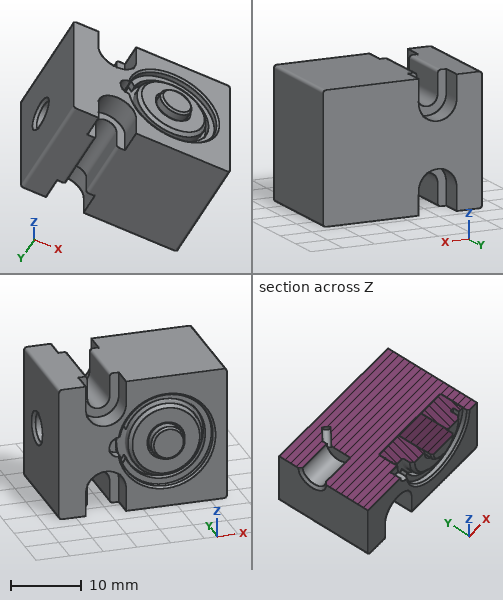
import cadquery as cq
import math

LENGTH = 25.0
DEPTH = 16.0
HEIGHT = 20.0
EDGE_RADIUS = 0.5
MID_HEIGHT = HEIGHT / 2

SLOT_X = 7.0
SLOT_WIDTH = 3.3
SLOT_CENTER_INSET = 3.5
HEAD_SLOT_WIDTH = 6.0
HEAD_SLOT_DEPTH = 3.4

PORT_Y = 10.0
PORT_DIAMETER = 4.12
PORT_MOUTH_DIAMETER = 5.0
PORT_CHAMFER = (PORT_MOUTH_DIAMETER - PORT_DIAMETER) / 2
PORT_DEPTH = 6.0
PASSAGE_DIAMETER = 1.2
PASSAGE_Y = 12.08
PASSAGE_ANGLE = 40.0
PASSAGE_DEPTH = 3.0

BORE_X = 16.0
BORE_DIAMETER = 14.0
BORE_RADIUS = BORE_DIAMETER / 2
BORE_DEPTH = 5.0
BORE_CHAMFER = 0.3
NOTCH_RADIUS = 1.5
NOTCH_DEPTH = 1.75

FLANGE_Y = 2.0
FLANGE_CHAMFER = 0.2
BOSS_DIAMETER = 11.0
BOSS_Y = 0.2
BOSS_CHAMFER = 0.5
BOSS_FOOT_RADIUS = 0.18
RING_INNER_DIAMETER = 12.2
RING_Y = 1.0
RING_GAP_INNER_HALF = 2.15
RING_GAP_OUTER_HALF = 3.1

ROD_DIAMETER = 5.0
ROD_PROTRUSION = 1.0
ROD_CHAMFER = 0.3
ROD_HOLE_CHAMFER = 0.3


def cylinder_y(diameter, y_start, y_end, x=BORE_X, z=MID_HEIGHT):
    """Cylinder along +Y between two depths."""
    base = cq.Workplane("XZ", origin=(x, y_start, z))
    return base.circle(diameter / 2).extrude(y_start - y_end)


def slot_cutter(width, y_start, y_end, direction):
    """Round-ended slot, open upward (direction 1) or downward (direction -1)."""
    center_z = MID_HEIGHT + direction * (MID_HEIGHT - SLOT_CENTER_INSET)
    straight = cq.Workplane("XY").box(
        width, y_end - y_start, SLOT_CENTER_INSET, centered=(True, False, True)
    )
    straight = straight.translate((SLOT_X, y_start, center_z + direction * SLOT_CENTER_INSET / 2))
    return cylinder_y(width, y_start, y_end, SLOT_X, center_z).union(straight)


def port_cutter():
    """Chamfered blind port with a slanted passage in its floor."""
    mouth = cq.Workplane("YZ", origin=(0, PORT_Y, MID_HEIGHT))
    port = mouth.circle(PORT_DIAMETER / 2).extrude(PORT_DEPTH)
    cone = cq.Solid.makeCone(
        PORT_MOUTH_DIAMETER / 2, PORT_DIAMETER / 2, PORT_CHAMFER,
        cq.Vector(0, PORT_Y, MID_HEIGHT), cq.Vector(1, 0, 0),
    )
    slant = math.radians(PASSAGE_ANGLE)
    direction = cq.Vector(math.cos(slant), math.sin(slant), 0)
    lead = PASSAGE_DIAMETER
    floor_point = cq.Vector(PORT_DEPTH, PASSAGE_Y, MID_HEIGHT)
    passage = cq.Workplane(cq.Solid.makeCylinder(
        PASSAGE_DIAMETER / 2, lead + PASSAGE_DEPTH, floor_point - direction * lead, direction
    ))
    behind_floor = cq.Workplane("XY").box(LENGTH, DEPTH, HEIGHT, centered=False)
    passage = passage.intersect(behind_floor.translate((PORT_DEPTH, 0, 0)))
    return port.union(cq.Workplane(cone)).union(passage)


def make_housing():
    """Block with slots, port, and bore with a release notch."""
    block = cq.Workplane("XY").box(LENGTH, DEPTH, HEIGHT, centered=False)
    for direction in (1, -1):
        block = block.cut(slot_cutter(SLOT_WIDTH, 0, DEPTH, direction))
    block = block.faces(">Z or <Z").edges("|Y").fillet(EDGE_RADIUS)
    for direction in (1, -1):
        block = block.cut(slot_cutter(HEAD_SLOT_WIDTH, 0, HEAD_SLOT_DEPTH, direction))
        block = block.cut(slot_cutter(HEAD_SLOT_WIDTH, DEPTH - HEAD_SLOT_DEPTH, DEPTH, direction))
    bore = cylinder_y(BORE_DIAMETER, 0, BORE_DEPTH)
    mouth = cq.Workplane(cq.Solid.makeCone(
        BORE_RADIUS + BORE_CHAMFER, BORE_RADIUS, BORE_CHAMFER,
        cq.Vector(BORE_X, 0, MID_HEIGHT), cq.Vector(0, 1, 0),
    ))
    notch = cylinder_y(2 * NOTCH_RADIUS, 0, NOTCH_DEPTH, BORE_X - BORE_RADIUS)
    return block.cut(bore).cut(mouth).cut(notch).cut(port_cutter())


def make_retaining_ring():
    """Flat ring with a gap that widens outward toward -X."""
    ring = cylinder_y(BORE_DIAMETER, RING_Y, FLANGE_Y)
    ring = ring.cut(cylinder_y(RING_INNER_DIAMETER, RING_Y, FLANGE_Y))
    inner_x = -math.sqrt((RING_INNER_DIAMETER / 2) ** 2 - RING_GAP_INNER_HALF**2)
    outer_x = -math.sqrt(BORE_RADIUS**2 - RING_GAP_OUTER_HALF**2)
    gap = cq.Workplane("XZ", origin=(BORE_X, RING_Y, MID_HEIGHT)).polyline([
        (0, RING_GAP_INNER_HALF),
        (inner_x, RING_GAP_INNER_HALF),
        (outer_x, RING_GAP_OUTER_HALF),
        (-BORE_DIAMETER, RING_GAP_OUTER_HALF),
        (-BORE_DIAMETER, -RING_GAP_OUTER_HALF),
        (outer_x, -RING_GAP_OUTER_HALF),
        (inner_x, -RING_GAP_INNER_HALF),
        (0, -RING_GAP_INNER_HALF),
    ]).close().extrude(RING_Y - FLANGE_Y)
    return ring.cut(gap)


def make_cover():
    """Stepped cover with a chamfered rod hole and the retaining ring on its flange."""
    flange = cylinder_y(BORE_DIAMETER, FLANGE_Y, BORE_DEPTH).faces("<Y").chamfer(FLANGE_CHAMFER)
    boss = cylinder_y(BOSS_DIAMETER, BOSS_Y, BORE_DEPTH)
    body = flange.union(boss)
    foot = cq.selectors.BoxSelector(
        (BORE_X - BORE_RADIUS, FLANGE_Y - BOSS_FOOT_RADIUS / 2, 0),
        (BORE_X + BORE_RADIUS, FLANGE_Y + BOSS_FOOT_RADIUS / 2, HEIGHT),
        boundingbox=False,
    )
    foot_edges = body.edges(foot).edges(cq.selectors.RadiusNthSelector(0))
    body = foot_edges.fillet(BOSS_FOOT_RADIUS)
    body = body.faces("<Y").chamfer(BOSS_CHAMFER)
    body = body.cut(cylinder_y(ROD_DIAMETER, BOSS_Y, BORE_DEPTH))
    body = body.faces("<Y").edges(cq.selectors.RadiusNthSelector(0)).chamfer(
        ROD_HOLE_CHAMFER
    )
    return body.union(make_retaining_ring())


def make_rod():
    """Rod with a chamfered front end."""
    return cylinder_y(ROD_DIAMETER, -ROD_PROTRUSION, BORE_DEPTH).faces("<Y").chamfer(ROD_CHAMFER)


housing = make_housing()
cover = make_cover()
rod = make_rod()

result = cq.Compound.makeCompound([housing.val(), cover.val(), rod.val()])